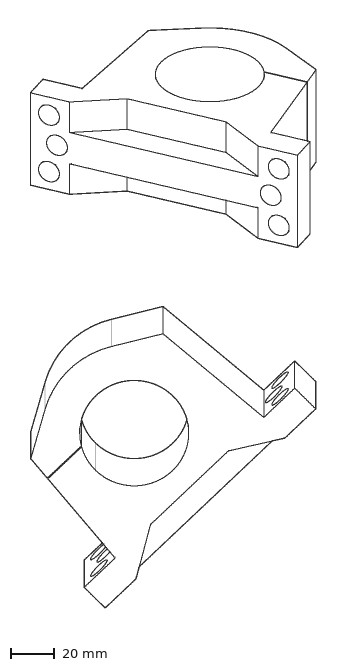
import cadquery as cq
import math

base_length = 135.0
base_thickness = 13.8
height = 49.0

bore_diameter = 50.0
bore_center_y = 50.0
crown_radius = 42.4
body_foot_half_width = 47.7
shoulder_half_width = crown_radius
shoulder_slope = math.radians(30)

slit_center_y = 62.4
slit_width = 0.4

rib_thickness = 16.6
relief_floor_half_width = bore_diameter / 2

hole_diameter = 10.5
corner_hole_x = 58.0
corner_hole_z = 15.0
middle_hole_x = 54.0


def make_base():
    return cq.Workplane("XY").box(
        base_length, base_thickness, height, centered=(True, False, True)
    )


def make_body():
    tangent_x = crown_radius * math.sin(shoulder_slope)
    tangent_y = bore_center_y + crown_radius * math.cos(shoulder_slope)
    shoulder_y = tangent_y - (shoulder_half_width - tangent_x) * math.tan(shoulder_slope)
    return (
        cq.Workplane("XY")
        .moveTo(-body_foot_half_width, 0)
        .lineTo(body_foot_half_width, 0)
        .lineTo(body_foot_half_width, base_thickness)
        .lineTo(shoulder_half_width, shoulder_y)
        .lineTo(tangent_x, tangent_y)
        .threePointArc((0, bore_center_y + crown_radius), (-tangent_x, tangent_y))
        .lineTo(-shoulder_half_width, shoulder_y)
        .lineTo(-body_foot_half_width, base_thickness)
        .close()
        .extrude(height / 2, both=True)
    )


def make_bore():
    return (
        cq.Workplane("XY")
        .center(0, bore_center_y)
        .circle(bore_diameter / 2)
        .extrude(height / 2, both=True)
    )


def make_slit():
    return (
        cq.Workplane("XY")
        .box(body_foot_half_width, slit_width, height, centered=(False, True, True))
        .translate((0, slit_center_y, 0))
    )


def make_relief(side):
    relief_depth = (height - rib_thickness) / 2
    return (
        cq.Workplane("XY")
        .workplane(offset=side * rib_thickness / 2)
        .polyline([
            (-body_foot_half_width, 0),
            (body_foot_half_width, 0),
            (relief_floor_half_width, base_thickness),
            (-relief_floor_half_width, base_thickness),
        ])
        .close()
        .extrude(side * relief_depth)
    )


def make_mounting_holes():
    points = []
    for side in (-1, 1):
        points.append((side * corner_hole_x, corner_hole_z))
        points.append((side * middle_hole_x, 0))
        points.append((side * corner_hole_x, -corner_hole_z))
    return (
        cq.Workplane("XZ")
        .pushPoints(points)
        .circle(hole_diameter / 2)
        .extrude(-base_thickness)
    )


result = make_base().union(make_body()).cut(make_bore()).cut(make_slit())
for relief_side in (-1, 1):
    result = result.cut(make_relief(relief_side))
result = result.cut(make_mounting_holes())